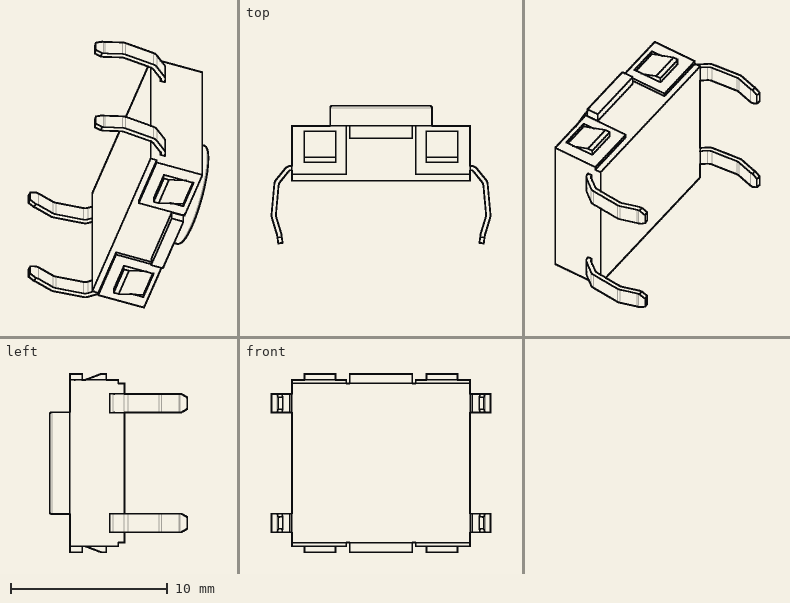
import cadquery as cq
import math


WIDTH = 11.4
DEPTH = 3.5
CORE_HEIGHT = 10.16
OVERALL_HEIGHT = 11.4

PAD_THICKNESS = 0.24
PAD_WIDTH = 3.49
PAD_FRONT_SETBACK = 0.4

LUG_WIDTH = 4.0
LUG_DEPTH = 0.8

HOOK_SIZE = 2.0
HOOK_SIDE_OFFSET = 0.8
HOOK_BACK_OFFSET = 0.32
HOOK_CREST = 0.34
HOOK_POCKET_DEPTH = 0.25

BUTTON_DIAMETER = 6.52
BUTTON_HEIGHT = 1.3
BUTTON_FILLET = 0.15

LEAD_SPAN = 14.0
LEAD_THICKNESS = 0.3
LEAD_WIDTH = 1.2
LEAD_SPACING = 7.65
LEAD_EMBED = 0.28
LEAD_BEND_RADIUS = 0.49
LEAD_TIP_WIDTH = 0.74
LEAD_TAPER_LENGTH = 0.4
LEAD_EXIT_Y = 0.81
LEAD_ROOT = (WIDTH / 2 - LEAD_EMBED, LEAD_EXIT_Y)
LEAD_SHOULDER = (5.91, LEAD_EXIT_Y)
LEAD_UPPER_BEND = (6.66, -0.11)
LEAD_LOWER_BEND = (6.86, -2.24)
LEAD_KINK = (6.5, -3.45)
LEAD_END = (6.43, -3.99)

PAD_Z = CORE_HEIGHT / 2 + PAD_THICKNESS
TOP_Z = OVERALL_HEIGHT / 2
HOOK_BACK_Y = DEPTH - HOOK_BACK_OFFSET
HOOK_FRONT_Y = HOOK_BACK_Y - HOOK_SIZE
HOOK_X = WIDTH / 2 - HOOK_SIDE_OFFSET - HOOK_SIZE / 2


def block(x_center, width, y_range, z_range):
    """Box centred on x_center, spanning the given Y and Z ranges."""
    y_low, y_high = y_range
    z_low, z_high = z_range
    corner = (x_center - width / 2, y_low, z_low)
    return cq.Workplane("XY").box(width, y_high - y_low, z_high - z_low, centered=False).translate(corner)


def hook(x_center):
    """Ramp rising from the pocket floor at the back to a flat crest at the front."""
    floor_z = PAD_Z - HOOK_POCKET_DEPTH
    profile = [
        (HOOK_BACK_Y, floor_z),
        (HOOK_FRONT_Y + HOOK_CREST, TOP_Z),
        (HOOK_FRONT_Y, TOP_Z),
        (HOOK_FRONT_Y, floor_z),
    ]
    ramp = cq.Workplane("YZ").polyline(profile).close().extrude(HOOK_SIZE / 2, both=True)
    return ramp.translate((x_center, 0, 0))


def add_upper_details(body):
    """Add the pads, hooks and lug of the upper face."""
    core_z = CORE_HEIGHT / 2
    pad_x = (WIDTH - PAD_WIDTH) / 2
    for side in (-1, 1):
        pad = block(side * pad_x, PAD_WIDTH, (PAD_FRONT_SETBACK, DEPTH), (core_z, PAD_Z))
        pocket = block(
            side * HOOK_X, HOOK_SIZE, (HOOK_FRONT_Y, HOOK_BACK_Y), (PAD_Z - HOOK_POCKET_DEPTH, PAD_Z)
        )
        body = body.union(pad).cut(pocket).union(hook(side * HOOK_X))
    lug = block(0, LUG_WIDTH, (DEPTH - LUG_DEPTH, DEPTH), (core_z, TOP_Z))
    return body.union(lug)


def housing():
    """Upper half of the core with its details, mirrored to the lower half."""
    half_core = block(0, WIDTH, (0, DEPTH), (0, CORE_HEIGHT / 2))
    upper = add_upper_details(half_core)
    return upper.union(upper.mirror("XY"))


def button():
    """Round button on the back face with a rounded rim."""
    base = cq.Workplane("XZ", origin=(0, DEPTH, 0)).circle(BUTTON_DIAMETER / 2).extrude(-BUTTON_HEIGHT)
    return base.faces(">Y").edges().fillet(BUTTON_FILLET)


def mitred_offset(points, distance):
    """Corners of the line running parallel to a polyline, to the left of its direction if positive."""
    headings = [math.atan2(y2 - y1, x2 - x1) for (x1, y1), (x2, y2) in zip(points, points[1:])]
    incoming = [headings[0], *headings]
    outgoing = [*headings, headings[-1]]
    corners = []
    for (x, y), before, after in zip(points, incoming, outgoing):
        normal = (before + after + math.pi) / 2
        reach = distance / math.cos((after - before) / 2)
        corners.append((x + reach * math.cos(normal), y + reach * math.sin(normal)))
    return corners


def lead():
    """Bent strip on the +X side, centred on Z = 0, with a tapered tip."""
    centreline = [LEAD_ROOT, LEAD_SHOULDER, LEAD_UPPER_BEND, LEAD_LOWER_BEND, LEAD_KINK, LEAD_END]
    outer = mitred_offset(centreline, LEAD_THICKNESS / 2)
    inner = mitred_offset(centreline, -LEAD_THICKNESS / 2)
    half_width = LEAD_WIDTH / 2
    strip = cq.Workplane("XY").polyline(outer + inner[::-1]).close().extrude(half_width, both=True)

    for x, y in outer[1:-1] + inner[2:4]:
        corner_edge = cq.selectors.NearestToPointSelector((x, y, 0))
        strip = strip.edges("|Z").edges(corner_edge).fillet(LEAD_BEND_RADIUS)

    strip = strip.translate((LEAD_SPAN / 2 - strip.val().BoundingBox().xmax, 0, 0))

    _, tip_y = outer[-1]
    half_tip = LEAD_TIP_WIDTH / 2
    outline = [
        (DEPTH, half_width),
        (tip_y + LEAD_TAPER_LENGTH, half_width),
        (tip_y, half_tip),
        (tip_y, -half_tip),
        (tip_y + LEAD_TAPER_LENGTH, -half_width),
        (DEPTH, -half_width),
    ]
    return strip.intersect(cq.Workplane("YZ").polyline(outline).close().extrude(WIDTH))


def leads():
    """Two leads on each side of the housing."""
    upper = lead().translate((0, 0, LEAD_SPACING / 2))
    pair = upper.union(upper.mirror("XY"))
    return pair.union(pair.mirror("YZ"))


result = housing().union(button()).union(leads())